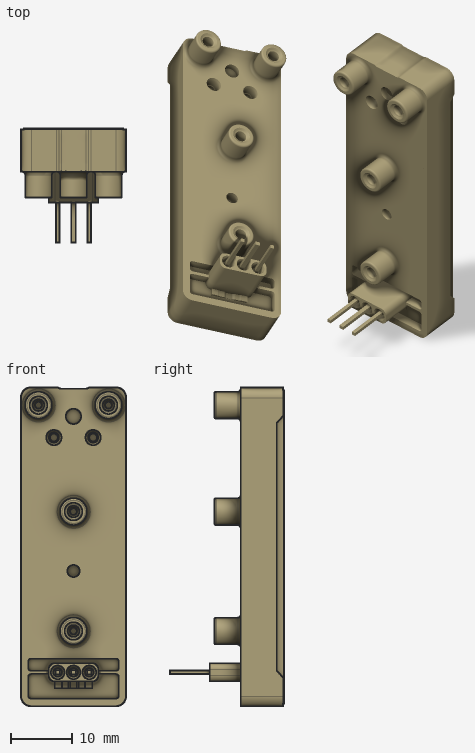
import cadquery as cq
import math

WIDTH = 17.2
HEIGHT = 52.1
BODY_DEPTH = 6.92
CORNER_RADIUS = 1.68

PANEL_THICKNESS = 0.2
PANEL_INSET = 0.45

DIP_DEPTH = 0.2
DIP_FLOOR_HALF = 1.98
DIP_TOP_HALF = 2.8

RELIEF_START = 4.7
RELIEF_FULL = 5.8
RELIEF_DEPTH = 1.0

BOSS_DIAMETER = 4.4
BOSS_LENGTH = 4.3
BOSS_BASE_FILLET = 0.5
BOSS_TIP_FILLET = 0.3
BOSS_BORE_MOUTH = 2.9
BOSS_STEP_DIAMETER = 2.3
BOSS_BORE_DIAMETER = 1.9
BOSS_BORE_END = 1.1
BOSS_MOUTH_DEPTH = 0.25
BOSS_STEP_DEPTH = 0.35
BOSS_BORE_DEPTH = 3.0
TOP_BOSS_X = 5.72
TOP_BOSS_Z = 49.18
MIDDLE_BOSS_Z = 31.8
BOTTOM_BOSS_Z = 12.3
BOSS_POSITIONS = [
    (-TOP_BOSS_X, TOP_BOSS_Z),
    (TOP_BOSS_X, TOP_BOSS_Z),
    (0, MIDDLE_BOSS_Z),
    (0, BOTTOM_BOSS_Z),
]

UPPER_HOLE_DIAMETER = 2.5
UPPER_HOLE_DEPTH = 1.2
UPPER_HOLE_Z = 47.35
LOWER_HOLE_DIAMETER = 2.0
LOWER_HOLE_Z = 22.1
LOWER_HOLE_DEPTH = 2.0
TAPER_HOLE_MOUTH = 2.5
TAPER_HOLE_END = 1.65
TAPER_HOLE_DEPTH = 1.5
PILOT_HOLE_DIAMETER = 1.3
PILOT_HOLE_DEPTH = 2.0
TAPER_HOLE_X = 3.2
TAPER_HOLE_Z = 43.9

POCKET_HALF_WIDTH = 7.4
POCKET_DEPTH = 1.5
POCKET_RADIUS = 0.5
LOWER_POCKET_BOTTOM = 1.25
LOWER_POCKET_TOP = 5.28
UPPER_POCKET_BOTTOM = 5.8
UPPER_POCKET_TOP = 7.8

CONNECTOR_WIDTH = 8.1
CONNECTOR_HEIGHT = 2.98
CONNECTOR_LENGTH = 5.06
CONNECTOR_RADIUS = 1.0
CONNECTOR_Z = 5.55
PIN_PITCH = 2.58
PIN_END = 11.58
PIN_SIZE = 0.62
MIDDLE_PIN_WIDTH = 0.76
SOCKET_MOUTH = 2.25
SOCKET_END = 1.4
SOCKET_DEPTH = 1.2

TERMINAL_HALF_WIDTH = 3.1
TERMINAL_DROP = 1.1
TERMINAL_THICKNESS = 0.35
TERMINAL_STEP = 0.1
STEP_OUTER_X = 1.95
STEP_INNER_X = 1.8
GROOVE_TOP_HALF = 0.88
GROOVE_FLOOR_HALF = 0.55
GROOVE_DEPTH = 0.2


def box(x_range, y_range, z_range):
    """Box spanning a (low, high) range along each axis."""
    size = [high - low for low, high in (x_range, y_range, z_range)]
    corner = (x_range[0], y_range[0], z_range[0])
    return cq.Workplane("XY").box(*size, centered=False).translate(corner)


def revolved_about_y(profile, x, z):
    """Turn a closed (radius, y) profile around an axis parallel to Y."""
    turned = cq.Workplane("XY").polyline(profile).close().revolve(360, (0, 0, 0), (0, 1, 0))
    return turned.translate((x, 0, z))


def slab(inset, y_start, y_end):
    """Rounded front outline, pulled in by an inset, between two depths."""
    return (
        box(
            (inset - WIDTH / 2, WIDTH / 2 - inset),
            (y_start, y_end),
            (inset, HEIGHT - inset),
        )
        .edges("|Y")
        .fillet(CORNER_RADIUS - inset)
    )


def top_dip(drop):
    """Dip with S-shaped ends, lowered by a given distance."""
    blend_width = DIP_TOP_HALF - DIP_FLOOR_HALF
    blend_x = (DIP_TOP_HALF + DIP_FLOOR_HALF) / 2
    radius = (blend_width ** 2 + DIP_DEPTH ** 2) / (4 * DIP_DEPTH)
    half_angle = math.asin(blend_width / 2 / radius) / 2
    arc_x = radius * math.sin(half_angle)
    arc_z = radius * (1 - math.cos(half_angle))
    top = HEIGHT - drop
    floor = top - DIP_DEPTH
    middle = top - DIP_DEPTH / 2
    return (
        cq.Workplane("XZ")
        .moveTo(-DIP_TOP_HALF, top)
        .threePointArc((arc_x - DIP_TOP_HALF, top - arc_z), (-blend_x, middle))
        .threePointArc((-DIP_FLOOR_HALF - arc_x, floor + arc_z), (-DIP_FLOOR_HALF, floor))
        .lineTo(DIP_FLOOR_HALF, floor)
        .threePointArc((DIP_FLOOR_HALF + arc_x, floor + arc_z), (blend_x, middle))
        .threePointArc((DIP_TOP_HALF - arc_x, top - arc_z), (DIP_TOP_HALF, top))
        .lineTo(DIP_TOP_HALF, top + DIP_DEPTH)
        .lineTo(-DIP_TOP_HALF, top + DIP_DEPTH)
        .close()
        .extrude(-(BODY_DEPTH + PANEL_THICKNESS))
    )


def side_relief():
    """Trapezoidal relief reaching across the -X rear edge."""
    return (
        cq.Workplane("YZ")
        .polyline(
            [
                (BODY_DEPTH, RELIEF_START),
                (BODY_DEPTH - RELIEF_DEPTH, RELIEF_FULL),
                (BODY_DEPTH - RELIEF_DEPTH, HEIGHT - RELIEF_FULL),
                (BODY_DEPTH, HEIGHT - RELIEF_START),
            ]
        )
        .close()
        .extrude(PANEL_INSET)
        .translate((-WIDTH / 2, 0, 0))
    )


def housing():
    """Rounded body with its rear panel, top dip and side reliefs."""
    body = slab(0, 0, BODY_DEPTH).cut(top_dip(0))
    relief = side_relief()
    body = body.cut(relief).cut(relief.mirror("YZ"))
    panel = slab(PANEL_INSET, BODY_DEPTH, BODY_DEPTH + PANEL_THICKNESS)
    return body.union(panel.cut(top_dip(PANEL_INSET)))


def boss(x, z):
    """Solid boss with a flared base and a rounded tip."""
    radius = BOSS_DIAMETER / 2
    diagonal = 1 - math.sqrt(0.5)
    base_mid = (radius + BOSS_BASE_FILLET * diagonal, -BOSS_BASE_FILLET * diagonal)
    tip_offset = BOSS_TIP_FILLET * diagonal
    profile = (
        cq.Workplane("XY")
        .lineTo(radius + BOSS_BASE_FILLET, 0)
        .threePointArc(base_mid, (radius, -BOSS_BASE_FILLET))
        .lineTo(radius, BOSS_TIP_FILLET - BOSS_LENGTH)
        .threePointArc(
            (radius - tip_offset, tip_offset - BOSS_LENGTH),
            (radius - BOSS_TIP_FILLET, -BOSS_LENGTH),
        )
        .lineTo(0, -BOSS_LENGTH)
        .close()
    )
    return profile.revolve(360, (0, 0, 0), (0, 1, 0)).translate((x, 0, z))


def boss_bore(x, z):
    """Blind bore with a chamfered mouth, a narrow step and a taper."""
    mouth_end = BOSS_MOUTH_DEPTH - BOSS_LENGTH
    step_end = BOSS_STEP_DEPTH - BOSS_LENGTH
    bore_end = BOSS_BORE_DEPTH - BOSS_LENGTH
    profile = [
        (0, -BOSS_LENGTH),
        (BOSS_BORE_MOUTH / 2, -BOSS_LENGTH),
        (BOSS_STEP_DIAMETER / 2, mouth_end),
        (BOSS_BORE_DIAMETER / 2, step_end),
        (BOSS_BORE_END / 2, bore_end),
        (0, bore_end),
    ]
    return revolved_about_y(profile, x, z)


def round_hole(x, z, mouth, end, y_start, depth):
    """Blind hole from y_start inward; its diameter runs evenly from mouth to end."""
    profile = [(0, y_start), (mouth / 2, y_start), (end / 2, y_start + depth), (0, y_start + depth)]
    return revolved_about_y(profile, x, z)


def front_holes():
    """Two plain holes on the center line and a pair of tapered holes with pilots."""
    upper = round_hole(0, UPPER_HOLE_Z, UPPER_HOLE_DIAMETER, UPPER_HOLE_DIAMETER, 0, UPPER_HOLE_DEPTH)
    lower = round_hole(0, LOWER_HOLE_Z, LOWER_HOLE_DIAMETER, LOWER_HOLE_DIAMETER, 0, LOWER_HOLE_DEPTH)
    holes = upper.union(lower)
    for x in (-TAPER_HOLE_X, TAPER_HOLE_X):
        taper = round_hole(x, TAPER_HOLE_Z, TAPER_HOLE_MOUTH, TAPER_HOLE_END, 0, TAPER_HOLE_DEPTH)
        pilot = round_hole(
            x, TAPER_HOLE_Z, PILOT_HOLE_DIAMETER, PILOT_HOLE_DIAMETER, 0, PILOT_HOLE_DEPTH
        )
        holes = holes.union(taper).union(pilot)
    return holes


def pocket(z_bottom, z_top):
    """Round-cornered pocket sunk into the front face."""
    blank = box((-POCKET_HALF_WIDTH, POCKET_HALF_WIDTH), (0, POCKET_DEPTH), (z_bottom, z_top))
    return blank.edges("|Y").fillet(POCKET_RADIUS)


def connector():
    """Block rising from the pocket floor, with a tapered socket around each pin."""
    block = box(
        (-CONNECTOR_WIDTH / 2, CONNECTOR_WIDTH / 2),
        (-CONNECTOR_LENGTH, POCKET_DEPTH),
        (CONNECTOR_Z - CONNECTOR_HEIGHT / 2, CONNECTOR_Z + CONNECTOR_HEIGHT / 2),
    )
    block = block.edges("|Y").fillet(CONNECTOR_RADIUS)
    pins = ((-PIN_PITCH, PIN_SIZE), (0, MIDDLE_PIN_WIDTH), (PIN_PITCH, PIN_SIZE))
    for x, pin_width in pins:
        block = block.cut(
            round_hole(x, CONNECTOR_Z, SOCKET_MOUTH, SOCKET_END, -CONNECTOR_LENGTH, SOCKET_DEPTH)
        )
        pin = box(
            (x - pin_width / 2, x + pin_width / 2),
            (-PIN_END, 0),
            (CONNECTOR_Z - PIN_SIZE / 2, CONNECTOR_Z + PIN_SIZE / 2),
        )
        block = block.union(pin)
    return block


def terminal_block():
    """Stepped block with a flared groove down its middle."""
    outer_y = POCKET_DEPTH - TERMINAL_THICKNESS
    inner_y = outer_y + TERMINAL_STEP
    groove_y = inner_y + GROOVE_DEPTH
    connector_bottom = CONNECTOR_Z - CONNECTOR_HEIGHT / 2
    right_half = [
        (GROOVE_FLOOR_HALF, groove_y),
        (GROOVE_TOP_HALF, inner_y),
        (STEP_INNER_X, inner_y),
        (STEP_OUTER_X, outer_y),
        (TERMINAL_HALF_WIDTH, outer_y),
        (TERMINAL_HALF_WIDTH, POCKET_DEPTH),
    ]
    left_half = [(-x, y) for x, y in reversed(right_half)]
    section = cq.Workplane("XY").polyline(left_half + right_half).close()
    bottom = connector_bottom - TERMINAL_DROP
    return section.extrude(CONNECTOR_Z - bottom).translate((0, 0, bottom))


result = housing()
for position in BOSS_POSITIONS:
    result = result.union(boss(*position)).cut(boss_bore(*position))
result = result.cut(front_holes())
result = result.cut(pocket(LOWER_POCKET_BOTTOM, LOWER_POCKET_TOP))
result = result.cut(pocket(UPPER_POCKET_BOTTOM, UPPER_POCKET_TOP))
result = result.union(terminal_block()).union(connector())